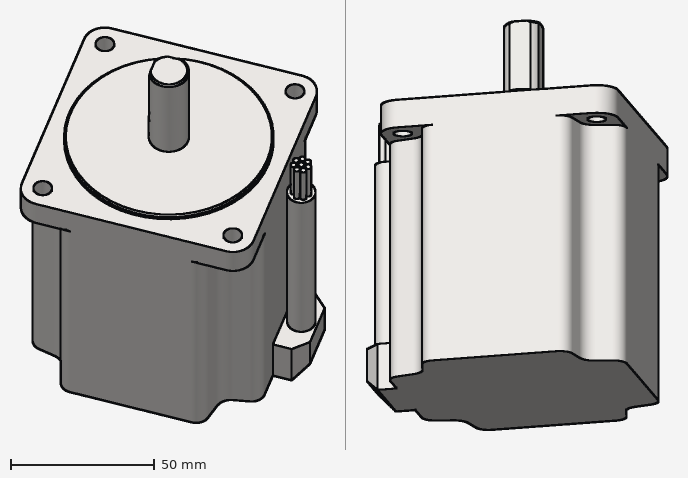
import cadquery as cq
import math

side = 85.0
half_side = side / 2
body_height = 85.9

face_half_width = 22.3
notch_tilt = math.radians(12)
notch_outer_radius = 4.8
notch_inner_radius = 5.6

flange_top = 96.0
flange_corner_radius = 7.6
hole_diameter = 6.5
hole_spacing = 69.7

pilot_diameter = 73.2
pilot_top = 97.8
pilot_chamfer = 0.7

shaft_diameter = 14.1
shaft_top = 133.0
shaft_chamfer = 0.7
flat_bottom = 107.9
flat_depth = 1.0

connector_length = 12.0
connector_width = 26.6
connector_height = 16.8
connector_chamfer = 5.0

cable_x = 48.5
cable_diameter = 10.0
cable_top = 85.7
wire_top = 100.3
wire_radius = 1.0
wire_ring_radius = 2.7
ring_wire_count = 7
wire_ring_start = -4.0


def block(x_min, x_max, y_min, y_max, z_min, z_max):
    """Box given by its limits along each axis."""
    size = (x_max - x_min, y_max - y_min, z_max - z_min)
    return cq.Workplane("XY").box(*size, centered=False).translate((x_min, y_min, z_min))


def cylinder(x, y, radius, z_min, z_max):
    """Vertical cylinder between two heights."""
    return cq.Workplane("XY", origin=(x, y, z_min)).circle(radius).extrude(z_max - z_min)


def make_body():
    """Square column with a rounded, slightly opened notch in each corner."""
    turn = math.pi / 2 - notch_tilt
    rim = face_half_width + notch_outer_radius * math.tan(turn / 2)
    wall = (half_side - rim) / (math.cos(notch_tilt) + math.sin(notch_tilt))
    root = rim + wall * math.sin(notch_tilt)

    corner = [(half_side, rim), (root, root), (rim, half_side)]
    outline = []
    for quarter in range(4):
        angle = quarter * math.pi / 2
        c = math.cos(angle)
        s = math.sin(angle)
        outline += [(x * c - y * s, x * s + y * c) for x, y in corner]

    body = cq.Workplane("XY").polyline(outline).close().extrude(body_height)
    margin = (half_side - root) / 2
    reach = root + margin
    inner_edges = cq.selectors.BoxSelector(
        (-reach, -reach, 0),
        (reach, reach, body_height),
    )
    body = body.edges("|Z").edges(inner_edges).fillet(notch_inner_radius)
    for face in ("<X", ">X", "<Y", ">Y"):
        body = body.faces(face).edges("|Z").fillet(notch_outer_radius)
    return body


def make_flange():
    """Rounded square plate with four through holes."""
    flange = block(-half_side, half_side, -half_side, half_side, body_height, flange_top)
    flange = flange.edges("|Z").fillet(flange_corner_radius)
    holes = (
        cq.Workplane("XY", origin=(0, 0, body_height))
        .rect(hole_spacing, hole_spacing, forConstruction=True)
        .vertices()
        .circle(hole_diameter / 2)
        .extrude(flange_top - body_height)
    )
    return flange.cut(holes)


def make_pilot():
    """Low chamfered disc on top of the flange."""
    pilot = cylinder(0, 0, pilot_diameter / 2, flange_top, pilot_top)
    return pilot.faces(">Z").chamfer(pilot_chamfer)


def make_shaft():
    """Chamfered shaft with flats facing -X and +Y."""
    radius = shaft_diameter / 2
    flat_distance = radius - flat_depth
    shaft = cylinder(0, 0, radius, pilot_top, shaft_top).faces(">Z").chamfer(shaft_chamfer)
    shaft = shaft.cut(block(-radius, -flat_distance, -radius, radius, flat_bottom, shaft_top))
    return shaft.cut(block(-radius, radius, flat_distance, radius, flat_bottom, shaft_top))


def make_connector():
    """Block with its lower and two side outer edges chamfered."""
    half_width = connector_width / 2
    outer_x = half_side + connector_length
    connector = block(half_side, outer_x, -half_width, half_width, 0, connector_height)
    return connector.faces(">X").edges("|Z or <Z").chamfer(connector_chamfer)


def make_cable():
    """Round cable ending in a centre wire with a ring of wires around it."""
    cable = cylinder(cable_x, 0, cable_diameter / 2, connector_height, cable_top)
    cable = cable.union(cylinder(cable_x, 0, wire_radius, cable_top, wire_top))
    for index in range(ring_wire_count):
        angle = math.radians(wire_ring_start + index * 360 / ring_wire_count)
        x = cable_x + wire_ring_radius * math.cos(angle)
        y = wire_ring_radius * math.sin(angle)
        cable = cable.union(cylinder(x, y, wire_radius, cable_top, wire_top))
    return cable


result = (
    make_body()
    .union(make_flange())
    .union(make_pilot())
    .union(make_shaft())
    .union(make_connector())
    .union(make_cable())
)